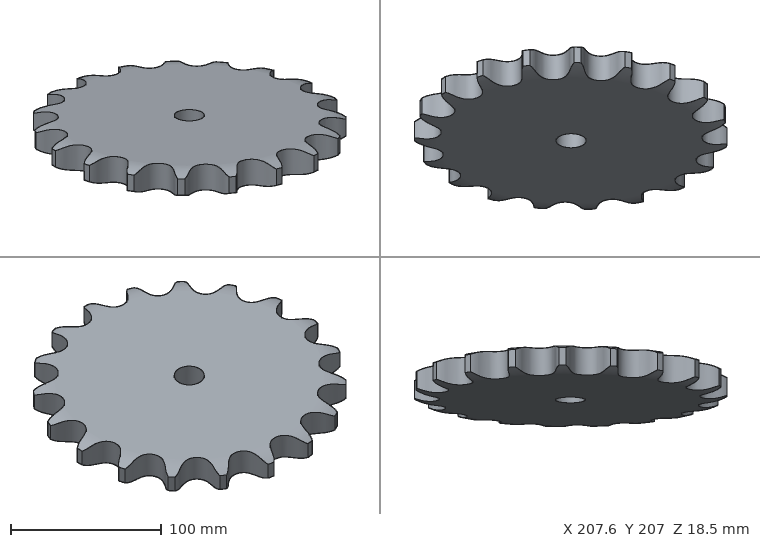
import cadquery as cq
import math


tooth_count = 19
chain_pitch = 31.8
roller_diameter = 19.1
tip_radius = 104.0
thickness = 18.5
bore_diameter = 20.0
flat_face_radius = 89.5
crown_radius = 33.2

seating_ratio = 1.005 / 2
working_center_ratio = 0.8
topping_center_ratio = 1.4
seating_angle = math.radians(35 + 60 / tooth_count)
working_angle = math.radians(18 - 56 / tooth_count)

half_pitch_angle = math.pi / tooth_count
pitch_radius = chain_pitch / 2 / math.sin(half_pitch_angle)
seating_radius = seating_ratio * roller_diameter
working_offset = working_center_ratio * roller_diameter
topping_offset = topping_center_ratio * roller_diameter
working_radius = seating_radius + working_offset


def offset(point, distance, angle):
    """Point at a distance and angle from another point."""
    return (point[0] + distance * math.cos(angle), point[1] + distance * math.sin(angle))


def tip_corner(center, radius):
    """Inner crossing of a topping curve with the tip circle, nearest the gap."""
    center_distance = math.hypot(*center)
    cosine = (center_distance**2 + tip_radius**2 - radius**2) / (2 * center_distance * tip_radius)
    center_angle = math.atan2(center[1], center[0])
    return offset((0, 0), tip_radius, center_angle + math.acos(cosine))


def flank_points():
    """Right flank of a gap centred on +Y, from the gap bottom out to the tooth tip."""
    roller_center = (0, pitch_radius)
    working_center = offset(roller_center, working_offset, math.pi - seating_angle)
    topping_center = offset(roller_center, topping_offset, -half_pitch_angle)

    normal = working_angle - seating_angle
    center_gap = (
        (topping_center[0] - working_center[0]) * math.cos(normal)
        + (topping_center[1] - working_center[1]) * math.sin(normal)
    )
    topping_radius = center_gap - working_radius

    bottom = offset(roller_center, seating_radius, -math.pi / 2)
    seating_end = offset(roller_center, seating_radius, -seating_angle)
    working_middle = offset(working_center, working_radius, normal - working_angle / 2)
    working_end = offset(working_center, working_radius, normal)
    topping_start = offset(topping_center, -topping_radius, normal)
    corner = tip_corner(topping_center, topping_radius)
    start_angle = normal + math.pi
    corner_angle = math.atan2(corner[1] - topping_center[1], corner[0] - topping_center[0])
    topping_middle = offset(topping_center, topping_radius, (start_angle + corner_angle) / 2)
    return [bottom, seating_end, working_middle, working_end, topping_start, topping_middle, corner]


def toothed_plate():
    """Plate with the full tooth outline; one gap is centred on +Y."""
    right_flank = flank_points()
    left_flank = [(-x, y) for x, y in right_flank]

    def turned(point, step):
        return offset(
            (0, 0), math.hypot(*point), math.atan2(point[1], point[0]) - 2 * step * half_pitch_angle
        )

    outline = cq.Workplane("XY", origin=(0, 0, -thickness / 2)).moveTo(*left_flank[-1])
    for step in range(tooth_count):
        bottom, seating_end, working_middle, working_end, topping_start, topping_middle, corner = [
            turned(point, step) for point in right_flank
        ]
        _, left_seating, left_working, left_straight, left_topping, left_top_middle, _ = [
            turned(point, step) for point in left_flank
        ]
        tooth_tip = turned(offset((0, 0), tip_radius, math.pi / 2 - half_pitch_angle), step)
        next_corner = turned(left_flank[-1], step + 1)
        outline = (
            outline.threePointArc(left_top_middle, left_topping)
            .lineTo(*left_straight)
            .threePointArc(left_working, left_seating)
            .threePointArc(bottom, seating_end)
            .threePointArc(working_middle, working_end)
            .lineTo(*topping_start)
            .threePointArc(topping_middle, corner)
            .threePointArc(tooth_tip, next_corner)
        )
    return outline.close().extrude(thickness)


def crowned_blank():
    """Turned disc whose rim is rounded down towards the tooth tips on both sides."""
    half_thickness = thickness / 2
    rounding_angle = math.asin((tip_radius - flat_face_radius) / crown_radius)
    arc_center = (flat_face_radius, half_thickness - crown_radius)
    middle = offset(arc_center, crown_radius, math.pi / 2 - rounding_angle / 2)
    edge = offset(arc_center, crown_radius, math.pi / 2 - rounding_angle)
    return (
        cq.Workplane("XZ")
        .moveTo(0, half_thickness)
        .lineTo(flat_face_radius, half_thickness)
        .threePointArc(middle, edge)
        .lineTo(edge[0], -edge[1])
        .threePointArc((middle[0], -middle[1]), (flat_face_radius, -half_thickness))
        .lineTo(0, -half_thickness)
        .close()
        .revolve(360, (0, 0, 0), (0, 1, 0))
    )


bore = cq.Workplane("XY").circle(bore_diameter / 2).extrude(thickness, both=True)

result = toothed_plate().intersect(crowned_blank()).cut(bore)